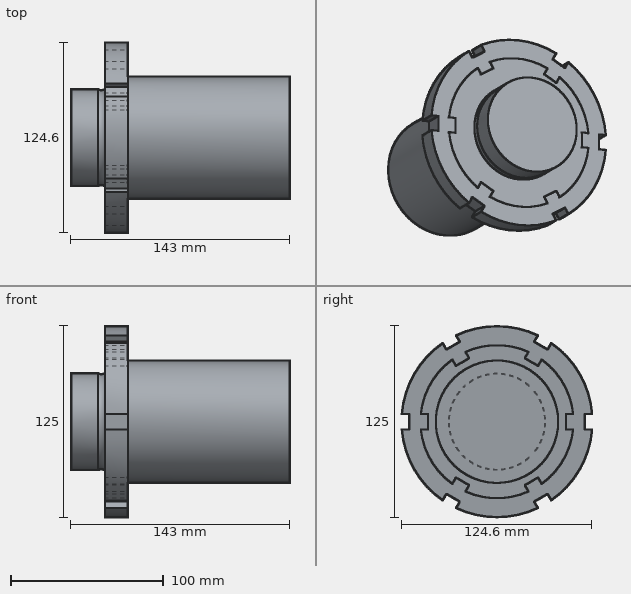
import cadquery as cq

total_length = 143.0
boss_length = 17.5
flange_start = 22.0
flange_thickness = 15.0

boss_radius = 31.7
groove_depth = 0.6
barrel_radius = 40.0
disc_radius = 50.0
ring_radius = 62.5

notch_count = 6
notch_width = 10.0
notch_depth = 5.0


def notched_disc(radius):
    """Flange-thick disc on the X axis with square notches spaced evenly around its rim."""
    disc = cq.Workplane("YZ", origin=(flange_start, 0, 0)).circle(radius).extrude(flange_thickness)
    cutters = (
        cq.Workplane("YZ", origin=(flange_start, 0, 0))
        .polarArray(radius, 0, 360, notch_count)
        .rect(2 * notch_depth, notch_width)
        .extrude(flange_thickness)
    )
    return disc.cut(cutters)


def make_shaft():
    """Boss, shallow round groove and barrel turned about X, with the notched disc."""
    groove_middle = (boss_length + flange_start) / 2
    turned = (
        cq.Workplane("XY")
        .lineTo(0, boss_radius)
        .lineTo(boss_length, boss_radius)
        .threePointArc((groove_middle, boss_radius - groove_depth), (flange_start, boss_radius))
        .lineTo(flange_start, barrel_radius)
        .lineTo(total_length, barrel_radius)
        .lineTo(total_length, 0)
        .close()
        .revolve(360, (0, 0, 0), (1, 0, 0))
    )
    return turned.union(notched_disc(disc_radius))


def make_ring():
    """Notched outer ring whose inner teeth fill the notches of the shaft's disc."""
    return notched_disc(ring_radius).cut(notched_disc(disc_radius))


shaft = make_shaft()
ring = make_ring()
result = cq.Compound.makeCompound([shaft.val(), ring.val()])